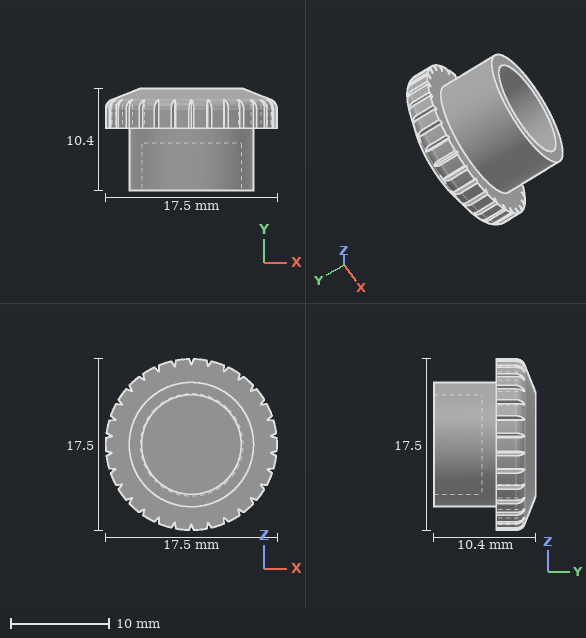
import cadquery as cq
import math


cap_radius = 8.74
cap_height = 4.07
cap_wall_height = 2.01
rim_round = 1.0
flat_radius = 5.25

stem_radius = 6.35
stem_length = 6.35
bore_radius = 5.09
bore_depth = 4.9

groove_count = 30
groove_depth = 0.6
groove_half_width = 0.25


def make_cap():
    """Revolve the cap profile; the cone is tangent to the rim round."""
    center_x = cap_radius - rim_round
    center_y = cap_wall_height

    to_flat_x = flat_radius - center_x
    to_flat_y = cap_height - center_y
    flat_angle = math.atan2(to_flat_y, to_flat_x)
    tangent_angle = flat_angle - math.acos(rim_round / math.hypot(to_flat_x, to_flat_y))

    def round_point(angle):
        return (center_x + rim_round * math.cos(angle), center_y + rim_round * math.sin(angle))

    profile = (
        cq.Workplane("XY")
        .lineTo(cap_radius, 0)
        .lineTo(cap_radius, cap_wall_height)
        .threePointArc(round_point(tangent_angle / 2), round_point(tangent_angle))
        .lineTo(flat_radius, cap_height)
        .lineTo(0, cap_height)
        .close()
    )
    return profile.revolve(360, (0, 0, 0), (0, 1, 0))


def make_grooves():
    """V cutters along Y, one at the top of the rim and the rest evenly around it."""
    root_radius = cap_radius - groove_depth
    outer_radius = cap_radius + groove_depth
    outer_half_width = groove_half_width * (outer_radius - root_radius) / groove_depth
    cutter = (
        cq.Workplane("XZ")
        .moveTo(0, root_radius)
        .lineTo(outer_half_width, outer_radius)
        .lineTo(-outer_half_width, outer_radius)
        .close()
        .extrude(-cap_height)
    )
    pitch_angle = 360 / groove_count
    cutters = [
        cutter.rotate((0, 0, 0), (0, 1, 0), index * pitch_angle).val()
        for index in range(groove_count)
    ]
    return cq.Compound.makeCompound(cutters)


def make_stem():
    return cq.Workplane("XZ").circle(stem_radius).extrude(stem_length)


def make_bore():
    return (
        cq.Workplane("XZ", origin=(0, -stem_length, 0))
        .circle(bore_radius)
        .extrude(-bore_depth)
    )


result = make_cap().cut(make_grooves()).union(make_stem()).cut(make_bore())